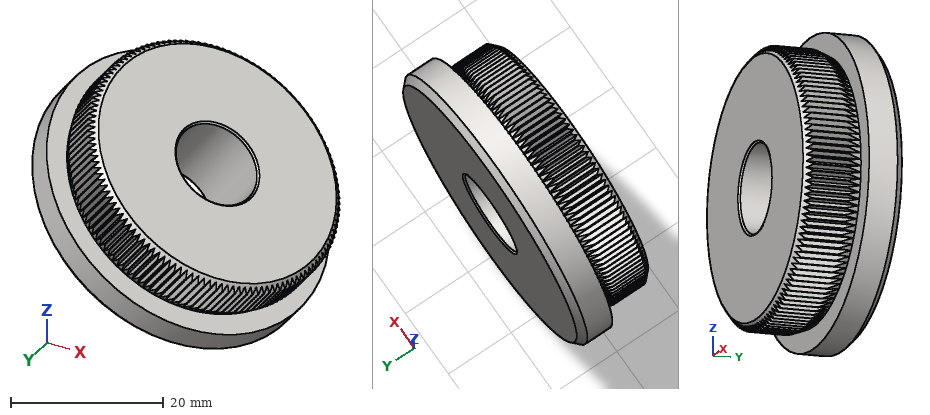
import cadquery as cq
import math

flange_diameter = 42.4
flange_thickness = 5.0
flange_chamfer = 1.0

total_length = 13.0
hub_length = total_length - flange_thickness
hub_diameter = 37.78
hub_chamfer = 1.05
neck_taper_length = 2.0
neck_taper_angle = 20.0

groove_count = 130
groove_angle = 60.0
tooth_land = 0.105

bore_diameter = 12.13
bore_chamfer = 0.25

hub_radius = hub_diameter / 2
flange_radius = flange_diameter / 2
bore_radius = bore_diameter / 2
half_pitch_angle = math.pi / groove_count


def polar_point(radius, angle):
    """Point at an angle measured from the vertical."""
    return (radius * math.sin(angle), radius * math.cos(angle))


def revolve_about_y(points):
    """Turn a closed (radius, y) outline about the part's axis, which is Y."""
    return cq.Workplane("XY").polyline(points).close().revolve(360, (0, 0, 0), (0, 1, 0))


def make_flange():
    """Disc with its front face at y = 0 and a chamfered rear rim."""
    outline = [
        (0, 0),
        (flange_radius, 0),
        (flange_radius, flange_thickness - flange_chamfer),
        (flange_radius - flange_chamfer, flange_thickness),
        (0, flange_thickness),
    ]
    return revolve_about_y(outline)


def make_hub_envelope():
    """Turned hub: chamfered front rim and a shallow taper down to the flange."""
    neck_radius = hub_radius - neck_taper_length * math.tan(math.radians(neck_taper_angle))
    outline = [
        (0, -hub_length),
        (hub_radius - hub_chamfer, -hub_length),
        (hub_radius, -hub_length + hub_chamfer),
        (hub_radius, -neck_taper_length),
        (neck_radius, 0),
        (0, 0),
    ]
    return revolve_about_y(outline)


def make_knurl_prism():
    """Star-shaped prism with a groove bottom at the top.

    Its sharp points reach just past the hub radius, so that trimming it to the
    hub envelope leaves a narrow land on every tooth.
    """
    flank_slope = math.tan(math.radians(groove_angle / 2))
    point_radius = hub_radius + tooth_land / 2 / flank_slope
    half_pitch = point_radius * math.sin(half_pitch_angle)
    root_radius = point_radius * math.cos(half_pitch_angle) - half_pitch / flank_slope
    outline = []
    for index in range(groove_count):
        root_angle = 2 * half_pitch_angle * index
        outline.append(polar_point(root_radius, root_angle))
        outline.append(polar_point(point_radius, root_angle + half_pitch_angle))
    return cq.Workplane("XZ").polyline(outline).close().extrude(hub_length)


def make_bore():
    """Through bore, chamfered at both ends."""
    rim_radius = bore_radius + bore_chamfer
    outline = [
        (0, -hub_length),
        (rim_radius, -hub_length),
        (bore_radius, -hub_length + bore_chamfer),
        (bore_radius, flange_thickness - bore_chamfer),
        (rim_radius, flange_thickness),
        (0, flange_thickness),
    ]
    return revolve_about_y(outline)


knurled_hub = make_knurl_prism().intersect(make_hub_envelope())
result = make_flange().union(knurled_hub).cut(make_bore())